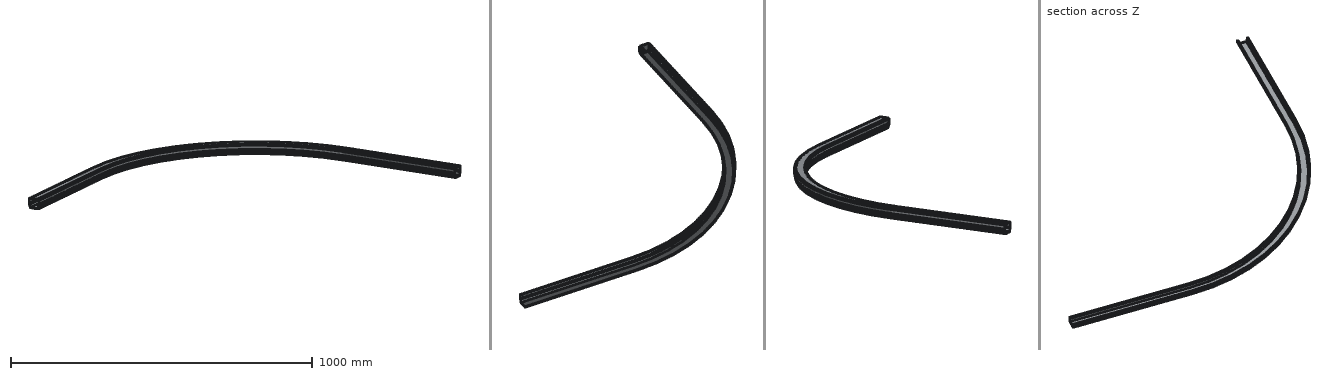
import cadquery as cq
import math

length_y = 1485.0
height = 35.0
width = 40.0
bend_radius = 603.0
bend_angle = 90.0
bend_center_x = 368.0
bottom_z = -18.0

wall = 3.0
top_bevel_width = 6.0
top_bevel_height = 5.0
step_z = 15.0
step_width = 0.7
bottom_bevel_width = 5.0
bottom_bevel_height = 12.0

half_width = width / 2
half_angle = math.radians(bend_angle / 2)
leg_length = (
    length_y / 2 - half_width * math.cos(half_angle) - bend_radius * math.sin(half_angle)
) / math.cos(half_angle)


def route_point(turn, distance):
    """Point at a signed turn along the bend, then a distance along the tangent there."""
    side = math.copysign(1, turn)
    x = bend_center_x - bend_radius * math.cos(turn) + distance * abs(math.sin(turn))
    y = bend_radius * math.sin(turn) + side * distance * math.cos(turn)
    return x, y


def make_route():
    """Straight leg, circular bend, straight leg, symmetric about the XZ plane."""
    return (
        cq.Workplane("XY", origin=(0, 0, bottom_z))
        .moveTo(*route_point(-half_angle, leg_length))
        .lineTo(*route_point(-half_angle, 0))
        .threePointArc(route_point(0, 0), route_point(half_angle, 0))
        .lineTo(*route_point(half_angle, leg_length))
    )


def section_outline():
    """Outer outline: stepped sides, bevelled at the top and the bottom."""
    lower_half_width = half_width - step_width
    one_side = [
        (lower_half_width - bottom_bevel_width, 0),
        (lower_half_width, bottom_bevel_height),
        (lower_half_width, step_z),
        (half_width, step_z),
        (half_width, height - top_bevel_height),
        (half_width - top_bevel_width, height),
    ]
    other_side = [(-across, up) for across, up in reversed(one_side)]
    start_x, start_y = route_point(-half_angle, leg_length)
    section_plane = cq.Plane(
        origin=(start_x, start_y, bottom_z),
        xDir=(math.cos(half_angle), math.sin(half_angle), 0),
        normal=(math.sin(half_angle), -math.cos(half_angle), 0),
    )
    return cq.Workplane(section_plane).polyline(one_side + other_side).close()


outer_body = section_outline().sweep(make_route())
inner_body = section_outline().offset2D(-wall, "intersection").sweep(make_route())
result = outer_body.cut(inner_body)